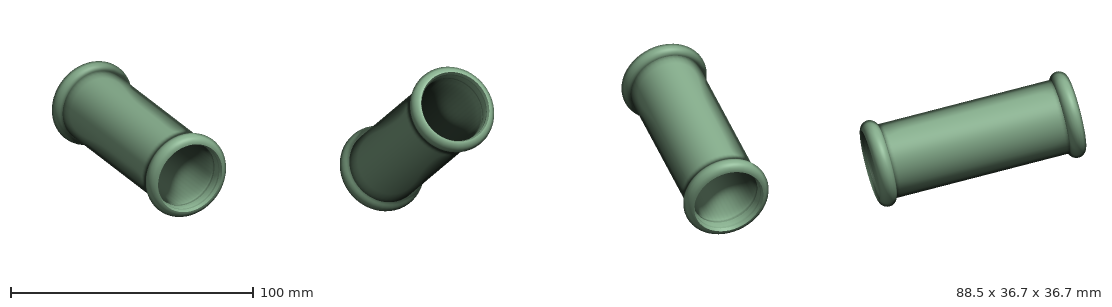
import cadquery as cq
import math

length = 88.5
half_length = length / 2
tube_radius = 31.4 / 2
bore_radius = 28.4 / 2
socket_radius = 28.8 / 2

bead_outer_radius = 36.7 / 2
bead_round_radius = 3.7
bead_center_radius = bead_outer_radius - bead_round_radius

mouth_radius = 15.05
lead_in_length = 1.25

seal_outer_offset = 1.5
seal_crest_offset = 1.1
seal_crest_radius = 14.0

step_length = 0.9


def bead_half_width(radius):
    """Half the bead's width along X at a given distance from the part's axis."""
    return math.sqrt(bead_round_radius**2 - (radius - bead_center_radius) ** 2)


bead_center_x = half_length - bead_half_width(mouth_radius)
bead_root_x = bead_center_x - bead_half_width(tube_radius)
step_end_x = bead_root_x + step_length
seal_outer_x = bead_center_x + seal_outer_offset
seal_crest_x = bead_center_x - seal_crest_offset


def flare_middle(start, end):
    """Middle point of the arc that leaves start parallel to X and flares out to end."""
    run = end[0] - start[0]
    rise = end[1] - start[1]
    arc_radius = (run**2 + rise**2) / (2 * rise)
    half_angle = math.asin(run / arc_radius) / 2
    middle_x = start[0] + arc_radius * math.sin(half_angle)
    middle_radius = start[1] + arc_radius * (1 - math.cos(half_angle))
    return middle_x, middle_radius


def straight_tube():
    """Plain tube between the roots of the two beads."""
    ring = cq.Workplane("YZ", origin=(-bead_root_x, 0, 0)).circle(tube_radius).circle(bore_radius)
    return ring.extrude(2 * bead_root_x)


def socket_end():
    """Beaded +X end with its socket, revolved from an (x, radius) outline."""
    step_start = (bead_root_x, bore_radius)
    step_end = (step_end_x, socket_radius)
    seal_crest = (seal_crest_x, seal_crest_radius)
    seal_outer = (seal_outer_x, socket_radius)
    outline = (
        cq.Workplane("XY")
        .moveTo(bead_root_x, tube_radius)
        .lineTo(*step_start)
        .threePointArc(flare_middle(step_start, step_end), step_end)
        .lineTo(seal_crest_x, socket_radius)
        .lineTo(*seal_crest)
        .threePointArc(flare_middle(seal_crest, seal_outer), seal_outer)
        .lineTo(half_length - lead_in_length, socket_radius)
        .lineTo(half_length, mouth_radius)
        .threePointArc((bead_center_x, bead_outer_radius), (bead_root_x, tube_radius))
        .close()
    )
    return outline.revolve(360, (0, 0, 0), (1, 0, 0))


plus_x_end = socket_end()
minus_x_end = plus_x_end.mirror("YZ")
result = straight_tube().union(plus_x_end).union(minus_x_end)